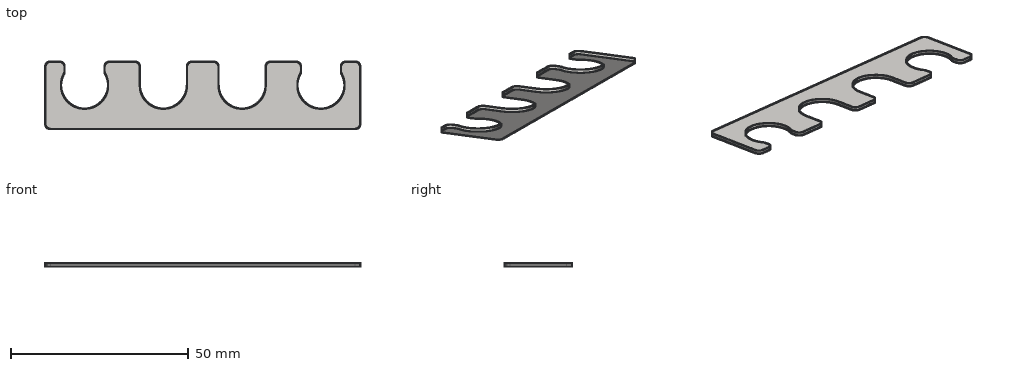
import cadquery as cq
import math

length = 88.9
width = 19.05
thickness = 1.0

cradle_count = 4
cradle_pitch = length / cradle_count
cradle_diameter = 13.22
cradle_center_from_front = 12.38
snap_neck_width = 11.2

corner_radius = 1.5

rear_y = width / 2
cradle_y = cradle_center_from_front - width / 2
mouth_depth = rear_y - cradle_y


def plate():
    """Flat rectangular plate, centred in X and Y, with its base at Z = 0."""
    return cq.Workplane("XY").box(length, width, thickness, centered=(True, True, False))


def cradle_cutter(center_x, mouth_width):
    """Round seat with a straight mouth opening through the rear edge."""
    seat = (
        cq.Workplane("XY")
        .center(center_x, cradle_y)
        .circle(cradle_diameter / 2)
        .extrude(thickness)
    )
    mouth = (
        cq.Workplane("XY")
        .center(center_x, cradle_y + mouth_depth / 2)
        .rect(mouth_width, mouth_depth)
        .extrude(thickness)
    )
    return seat.union(mouth)


def round_edges_at(body, points, radius):
    """Round the vertical edges that stand at the given (x, y) points."""
    for x, y in points:
        nearest = cq.selectors.NearestToPointSelector((x, y, thickness / 2))
        body = body.edges("|Z").edges(nearest).fillet(radius)
    return body


result = plate()
outer_corners = [(x, y) for x in (-length / 2, length / 2) for y in (-rear_y, rear_y)]
result = round_edges_at(result, outer_corners, corner_radius)

neck_half = snap_neck_width / 2
neck_rise = math.sqrt((cradle_diameter / 2) ** 2 - neck_half**2)

for index in range(cradle_count):
    center_x = (index - (cradle_count - 1) / 2) * cradle_pitch
    is_end_cradle = index in (0, cradle_count - 1)
    mouth_width = snap_neck_width if is_end_cradle else cradle_diameter
    result = result.cut(cradle_cutter(center_x, mouth_width))

    sides = [center_x + side * mouth_width / 2 for side in (-1, 1)]
    result = round_edges_at(result, [(x, rear_y) for x in sides], corner_radius)
    if is_end_cradle:
        neck_corners = [(x, cradle_y + neck_rise) for x in sides]
        result = round_edges_at(result, neck_corners, corner_radius)